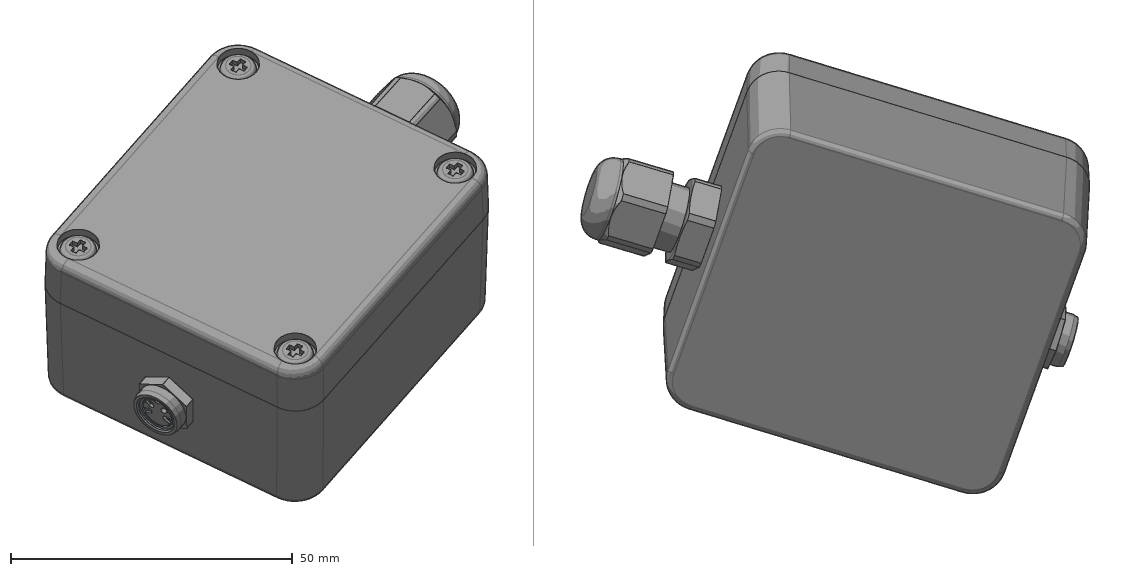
import cadquery as cq
import math

OVERALL_Y = 90.1
BOX_X = 57.9
BOX_Y = 63.8
BASE_H = 25.0
LID_H = 10.0
BOX_H = BASE_H + LID_H
CORNER_R = 5.95
BASE_LEAN = 0.45
LID_LEAN = 0.2
BASE_EDGE_R = 1.1
LID_EDGE_R = 2.0

SCREW_X = 23.0
SCREW_Y = 26.05
RECESS_D = 7.5
RECESS_DEPTH = 1.6
HEAD_D = 6.5
HEAD_FLAT_D = 4.5
HEAD_EDGE_R = (HEAD_D - HEAD_FLAT_D) / 2
HEAD_BELOW_LID = 0.45
HEAD_H = RECESS_DEPTH - HEAD_BELOW_LID
CROSS_SPAN = 3.1
CROSS_W = 1.1
CROSS_DEPTH = 0.9

WALL_ANGLE = math.atan(BASE_LEAN / BASE_H)
TO_PLUS_Y = 1
TO_MINUS_Y = -1

GLAND_Z = 14.6
GLAND_TIP_Y = 53.8
GLAND_FLATS = 15.05
GLAND_CORNER_D = 16.7
NECK_D = 12.0
BODY_HEX_H = 5.2
BODY_HEX_CHAMFER_H = 0.3
NUT_BOTTOM = 9.0
NUT_HEX_TOP = 18.1
NUT_HEX_CHAMFER_H = 0.8
DOME_D = 15.0
DOME_R = 3.4
HEX_CHAMFER_W = (GLAND_CORNER_D - DOME_D) / 2

PLUG_Z = 13.3
PLUG_RIM_Y = OVERALL_Y - GLAND_TIP_Y
PLUG_FLATS = 10.0
PLUG_HEX_H = 2.1
BARREL_D = 9.7
BARREL_CHAMFER_H = 0.9
BARREL_CHAMFER_W = 0.3
MOUTH_D = 8.0
MOUTH_CHAMFER = 0.3
BORE_D = MOUTH_D - 2 * MOUTH_CHAMFER
INSERT_BELOW_RIM = 0.6
INSERT_H = 2.25
RING_GROOVE_D = 6.5
RING_GROOVE_DEPTH = 0.45
CORE_D = 5.95
CONTACT_CIRCLE_R = 1.8
CONTACT_W = 1.1
CONTACT_DEPTH = 0.9
CONTACT_ANGLES = (-17, 44, 136, 197)
KEY_W = 1.1
KEY_DEPTH = 0.4


def wall_y(z):
    """Distance of the base's end walls from the box centre at height z."""
    return BOX_Y / 2 - BASE_LEAN * (1 - z / BASE_H)


def on_wall(side, z, height=0.0):
    """Workplane parallel to the end wall at height z, moved out from it; its y axis points up the wall."""
    normal = cq.Vector(0, side * math.cos(WALL_ANGLE), -math.sin(WALL_ANGLE))
    origin = cq.Vector(0, side * wall_y(z), z) + normal * height
    return cq.Workplane(cq.Plane(origin=origin, xDir=(-side, 0, 0), normal=normal))


def height_to_reach(y, z, rim_d):
    """Height on the tilted axis at which a flat end of diameter rim_d just touches distance y."""
    return (y - wall_y(z) - rim_d / 2 * math.sin(WALL_ANGLE)) / math.cos(WALL_ANGLE)


GLAND_H = height_to_reach(GLAND_TIP_Y, GLAND_Z, DOME_D - 2 * DOME_R)
PLUG_H = height_to_reach(PLUG_RIM_Y, PLUG_Z, BARREL_D - 2 * BARREL_CHAMFER_W)
INSERT_FACE = PLUG_H - INSERT_BELOW_RIM


def rounded_rect(z, inset):
    outline = cq.Sketch().rect(BOX_X - 2 * inset, BOX_Y - 2 * inset).vertices().fillet(CORNER_R)
    return outline.moved(cq.Location(cq.Vector(0, 0, z)))


def leaning_block(z0, inset0, z1, inset1):
    """Block with rounded corners and straight leaning sides between two heights."""
    return cq.Workplane("XY").placeSketch(rounded_rect(z0, inset0), rounded_rect(z1, inset1)).loft()


def hex_prism(workplane, across_flats, height, first_corner):
    """Hexagonal prism with a corner at the given angle from the workplane's x axis."""
    across_corners = across_flats / math.cos(math.radians(30))
    return workplane.transformed(rotate=(0, 0, first_corner)).polygon(6, across_corners).extrude(height)


def make_base():
    return leaning_block(0, BASE_LEAN, BASE_H, 0).faces("<Z").edges().fillet(BASE_EDGE_R)


def make_lid():
    lid = leaning_block(BASE_H, 0, BOX_H, LID_LEAN).faces(">Z").edges().fillet(LID_EDGE_R)
    recesses = (
        cq.Workplane("XY", origin=(0, 0, BOX_H))
        .rect(2 * SCREW_X, 2 * SCREW_Y, forConstruction=True)
        .vertices()
        .circle(RECESS_D / 2)
        .extrude(-RECESS_DEPTH)
    )
    return lid.cut(recesses)


def make_screw(x, y):
    seat = cq.Workplane("XY", origin=(x, y, BOX_H - RECESS_DEPTH))
    head = seat.circle(HEAD_D / 2).extrude(HEAD_H).faces(">Z").edges().fillet(HEAD_EDGE_R)
    top = seat.workplane(offset=HEAD_H)
    for span_x, span_y in ((CROSS_SPAN, CROSS_W), (CROSS_W, CROSS_SPAN)):
        head = head.cut(top.rect(span_x, span_y).extrude(-CROSS_DEPTH))
    return head


def gland_hex(bottom, top, chamfer_h):
    """Hexagon with flats above and below, its corners turned down and its outer end chamfered."""
    workplane = on_wall(TO_PLUS_Y, GLAND_Z, bottom)
    turned = workplane.circle(GLAND_CORNER_D / 2).extrude(top - bottom)
    turned = turned.faces(">Y").edges().chamfer(chamfer_h, HEX_CHAMFER_W)
    return hex_prism(workplane, GLAND_FLATS, top - bottom, 0).intersect(turned)


def make_gland_body():
    neck = on_wall(TO_PLUS_Y, GLAND_Z).circle(NECK_D / 2).extrude(NUT_BOTTOM)
    return gland_hex(0, BODY_HEX_H, BODY_HEX_CHAMFER_H).union(neck)


def make_gland_nut():
    dome = on_wall(TO_PLUS_Y, GLAND_Z, NUT_BOTTOM).circle(DOME_D / 2).extrude(GLAND_H - NUT_BOTTOM)
    dome = dome.faces(">Y").edges().fillet(DOME_R)
    return gland_hex(NUT_BOTTOM, NUT_HEX_TOP, NUT_HEX_CHAMFER_H).union(dome)


def make_connector_shell():
    seat = on_wall(TO_MINUS_Y, PLUG_Z)
    barrel = seat.circle(BARREL_D / 2).extrude(PLUG_H)
    barrel = barrel.faces("<Y").edges().chamfer(BARREL_CHAMFER_H, BARREL_CHAMFER_W)
    shell = barrel.union(hex_prism(seat, PLUG_FLATS, PLUG_HEX_H, 90))
    bore = on_wall(TO_MINUS_Y, PLUG_Z, PLUG_H).circle(BORE_D / 2).extrude(-INSERT_BELOW_RIM - INSERT_H)
    shell = shell.cut(bore)
    smallest_circle = cq.selectors.RadiusNthSelector(0)
    return shell.faces("<Y").edges(smallest_circle).chamfer(MOUTH_CHAMFER)


def make_connector_insert():
    face = on_wall(TO_MINUS_Y, PLUG_Z, INSERT_FACE)
    insert = face.circle(BORE_D / 2).extrude(-INSERT_H)
    ring_groove = face.circle(RING_GROOVE_D / 2).circle(CORE_D / 2).extrude(-RING_GROOVE_DEPTH)
    insert = insert.cut(ring_groove)
    for angle in CONTACT_ANGLES:
        insert = insert.cut(contact_slot(face, angle))
    key = face.center(0, CORE_D / 2).rect(KEY_W, 2 * KEY_DEPTH).extrude(-RING_GROOVE_DEPTH)
    return insert.cut(key)


def contact_slot(face, angle):
    """Contact hole with a shallower slot running from it out to the ring groove."""
    turned = face.transformed(rotate=(0, 0, angle))
    slot_l = CORE_D / 2 - CONTACT_CIRCLE_R
    hole = turned.center(CONTACT_CIRCLE_R, 0).circle(CONTACT_W / 2).extrude(-CONTACT_DEPTH)
    exit_cut = turned.center(CONTACT_CIRCLE_R + slot_l / 2, 0).rect(slot_l, CONTACT_W)
    exit_cut = exit_cut.extrude(-RING_GROOVE_DEPTH)
    return hole.union(exit_cut)


base = make_base()
lid = make_lid()
screws = [make_screw(side_x * SCREW_X, side_y * SCREW_Y) for side_x in (-1, 1) for side_y in (-1, 1)]
gland_body = make_gland_body()
gland_nut = make_gland_nut()
connector_shell = make_connector_shell()
connector_insert = make_connector_insert()

result = cq.Compound.makeCompound(
    [
        base.val(),
        lid.val(),
        *[screw.val() for screw in screws],
        gland_body.val(),
        gland_nut.val(),
        connector_shell.val(),
        connector_insert.val(),
    ]
)